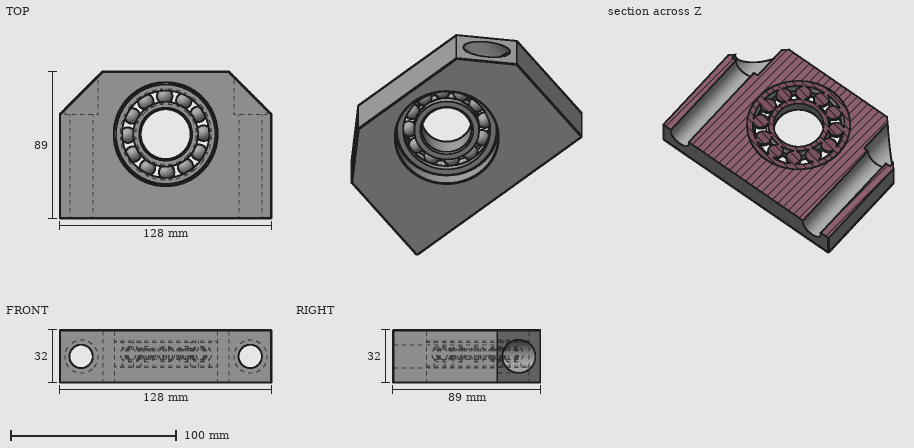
import cadquery as cq
import math

BLOCK_LENGTH = 128.0
BLOCK_DEPTH = 89.0
BLOCK_HEIGHT = 32.0
CORNER_CUT = 26.0
EDGE_CHAMFER = 0.5
BACK_Y = BLOCK_DEPTH / 2
FRONT_Y = -BLOCK_DEPTH / 2

BOLT_DIAMETER = 14.0
COUNTERBORE_DIAMETER = 20.0
BOLT_X = BLOCK_LENGTH / 2 - CORNER_CUT / 2
COUNTERBORE_FLOOR_Y = BACK_Y - CORNER_CUT

BEARING_FROM_BACK = 38.0
BEARING_Y = BACK_Y - BEARING_FROM_BACK
BEARING_WIDTH = 16.0
BEARING_TOP_DEPTH = 6.5
BEARING_Z = BLOCK_HEIGHT / 2 - BEARING_TOP_DEPTH - BEARING_WIDTH / 2
OUTER_RADIUS = 31.0
OUTER_RACE_BORE_RADIUS = 26.2
INNER_RACE_RADIUS = 19.6
SHAFT_RADIUS = 15.0
RACE_CHAMFER = 1.0
BALL_COUNT = 12
BALL_RADIUS = 4.7
GROOVE_RADIUS = 4.6
PITCH_RADIUS = (OUTER_RACE_BORE_RADIUS + INNER_RACE_RADIUS) / 2
FIRST_BALL_ANGLE = 1.5


def make_block():
    """Plate with two cut back corners and lightly broken edges."""
    half = BLOCK_LENGTH / 2
    block = (
        cq.Workplane("XY")
        .workplane(offset=-BLOCK_HEIGHT / 2)
        .moveTo(-half, FRONT_Y)
        .lineTo(half, FRONT_Y)
        .lineTo(half, BACK_Y - CORNER_CUT)
        .lineTo(half - CORNER_CUT, BACK_Y)
        .lineTo(CORNER_CUT - half, BACK_Y)
        .lineTo(-half, BACK_Y - CORNER_CUT)
        .close()
        .extrude(BLOCK_HEIGHT)
    )
    front_corners = block.edges("|Z and <Y")
    rims = block.faces("|Z").edges()
    return front_corners.add(rims).chamfer(EDGE_CHAMFER)


def cylinder_along_y(diameter, x, start_y, end_y):
    start = cq.Vector(x, start_y, 0)
    return cq.Workplane(cq.Solid.makeCylinder(diameter / 2, end_y - start_y, start, cq.Vector(0, 1, 0)))


def make_housing():
    """Block with the bearing bore and two counterbored mounting holes."""
    bore = cq.Workplane("XY").center(0, BEARING_Y).circle(OUTER_RADIUS).extrude(BLOCK_HEIGHT, both=True)
    housing = make_block().cut(bore)
    housing = housing.faces("|Z").edges("%CIRCLE").chamfer(EDGE_CHAMFER)
    for x in (-BOLT_X, BOLT_X):
        housing = housing.cut(cylinder_along_y(BOLT_DIAMETER, x, FRONT_Y, BACK_Y))
        housing = housing.cut(cylinder_along_y(COUNTERBORE_DIAMETER, x, COUNTERBORE_FLOOR_Y, BACK_Y))
    return housing


def make_ring(outer_radius, inner_radius):
    return (
        cq.Workplane("XY")
        .workplane(offset=BEARING_Z - BEARING_WIDTH / 2)
        .center(0, BEARING_Y)
        .circle(outer_radius)
        .circle(inner_radius)
        .extrude(BEARING_WIDTH)
    )


def make_ball_groove():
    """Torus that cuts the ball track into both races."""
    center = cq.Vector(0, BEARING_Y, BEARING_Z)
    return cq.Workplane(cq.Solid.makeTorus(PITCH_RADIUS, GROOVE_RADIUS, center))


def make_bearing():
    """Two races joined into one solid by the ring of balls between them."""
    outer_race = make_ring(OUTER_RADIUS, OUTER_RACE_BORE_RADIUS)
    outer_race = outer_race.faces("|Z").edges(cq.selectors.RadiusNthSelector(-1)).chamfer(RACE_CHAMFER)
    inner_race = make_ring(INNER_RACE_RADIUS, SHAFT_RADIUS)
    inner_race = inner_race.faces("|Z").edges(cq.selectors.RadiusNthSelector(0)).chamfer(RACE_CHAMFER)
    bearing = outer_race.union(inner_race).cut(make_ball_groove())
    for index in range(BALL_COUNT):
        angle = math.radians(FIRST_BALL_ANGLE + index * 360 / BALL_COUNT)
        x = PITCH_RADIUS * math.cos(angle)
        y = BEARING_Y + PITCH_RADIUS * math.sin(angle)
        bearing = bearing.union(cq.Workplane("XY").sphere(BALL_RADIUS).translate((x, y, BEARING_Z)))
    return bearing


housing = make_housing()
bearing = make_bearing()

result = cq.Compound.makeCompound([housing.val(), bearing.val()])